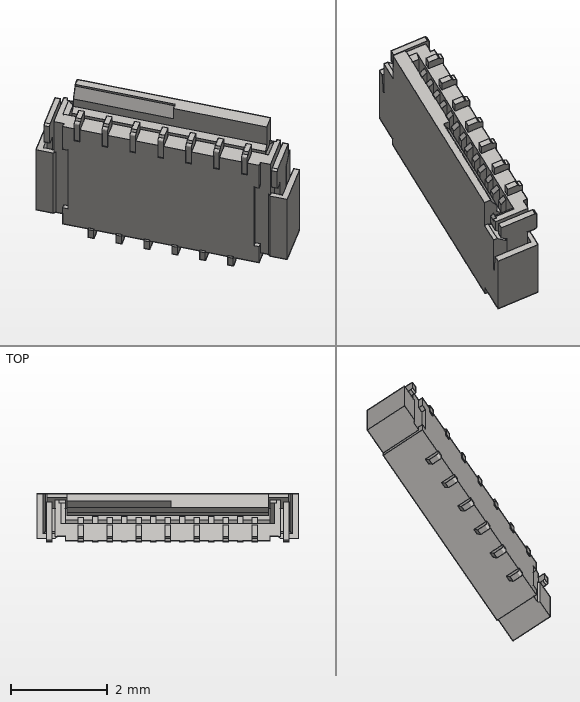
import cadquery as cq


WIDTH = 5.4
DEPTH = 1.0
HEIGHT = 3.48

FRONT_Y = 0.02
SHOULDER_Y = 0.115
BODY_BOTTOM = 0.25
HOUSING_TOP = 3.02
BODY_HALF = 2.11
WAIST_HALF = 2.0
WAIST_BOTTOM = 0.71
WAIST_TOP = 2.37
SIDE_HALF = 2.33
SIDE_BOTTOM = 0.45
SIDE_BACK_Y = 0.87
SIDE_BACK_Z = 2.71
RELIEF_WIDTH = 0.135
RELIEF_SIZE = 0.065

SLOT_HALF = BODY_HALF
SLOT_FRONT_Y = 0.385
SLOT_FLOOR = 0.97
FLOOR_EDGE_Y = 0.45
FLOOR_EDGE_DROP = 0.03
LEAD_IN_WIDTH = 0.095
LEAD_IN_DEPTH = 0.11

ACTUATOR_HALF = 2.08
ACTUATOR_FRONT_Y = 0.71
ACTUATOR_LIP_Y = 0.605
ACTUATOR_NOSE_Y = 0.55
ACTUATOR_SLOPE_TOP = 2.975
ACTUATOR_SLOPE_BOTTOM = 2.875
ACTUATOR_NOSE_Z = 2.605
BEVEL_END_X = 0.07
BEVEL_Y = 0.84
BEVEL_TOP = 3.43
BEVEL_BOTTOM = 3.185
ARM_HALF = 2.495
ARM_TOP = 2.66
ARM_TOP_Y = 0.91
ARM_FRONT_Y = 0.69

EAR_FRONT_Y = 0.07
EAR_TOP = 2.16
EAR_WALL_X = 0.13
EAR_WALL_Y = 0.1
EAR_POCKET_DEPTH = 0.54
EAR_POCKET_TAPER = 5.0

PLATE_INNER = 2.385
PLATE_OUTER = 2.505
PLATE_TOP = 3.0
PLATE_BACK_Y = 0.825
PLATE_BACK_Z = 2.64
PLATE_SLOPE_END_Z = 2.515
PLATE_BOTTOM = 2.45
PLATE_NECK_Y = 0.215
PLATE_CORNER = 0.045

PITCH = 0.6
UPPER_COUNT = 7
LOWER_COUNT = 6
CONTACT_WIDTH = 0.12
TAIL_BACK_Y = 0.345
TAIL_TOP = 3.25
TAIL_BOTTOM = 2.7
TAIL_SLOPE_Y = 0.115
TAIL_DIP_Y = 0.075
TAIL_DIP_Z = 3.2
TAIL_RADIUS = 0.055
FOOT_TOP_Y = 0.32
FOOT_FRONT_TOP = 0.28
FOOT_BOTTOM_Y = 0.225
FOOT_RADIUS = 0.05
UPPER_ARM_Y = 0.5
LOWER_ARM_Y = 0.53
ARM_TIP_DROP = 0.11
ARM_TIP_HEIGHT = 0.11


def box(x0, x1, y0, y1, z0, z1):
    return cq.Workplane("XY").box(x1 - x0, y1 - y0, z1 - z0, centered=False).translate((x0, y0, z0))


def side_profile(x0, x1, points):
    """Extrude a closed (y, z) outline from x0 to x1."""
    return cq.Workplane("YZ", origin=(x0, 0, 0)).polyline(points).close().extrude(x1 - x0)


def both_sides(right_half):
    return right_half.union(right_half.mirror("YZ"))


def row_positions(count):
    return [(i - (count - 1) / 2) * PITCH for i in range(count)]


def make_housing():
    """Proud front body with a waist, set-back side walls and the cable slot."""
    body = box(-BODY_HALF, BODY_HALF, FRONT_Y, ACTUATOR_FRONT_Y, BODY_BOTTOM, HOUSING_TOP)
    base = box(-BODY_HALF, BODY_HALF, FRONT_Y, DEPTH, BODY_BOTTOM, SIDE_BOTTOM)
    waist = both_sides(box(WAIST_HALF, BODY_HALF, FRONT_Y, SHOULDER_Y, WAIST_BOTTOM, WAIST_TOP))

    slope_drop = SIDE_BACK_Y - ARM_FRONT_Y
    side_wall = side_profile(WAIST_HALF, SIDE_HALF, [
        (SHOULDER_Y, SIDE_BOTTOM),
        (SHOULDER_Y, HOUSING_TOP),
        (SIDE_BACK_Y, HOUSING_TOP),
        (SIDE_BACK_Y, SIDE_BACK_Z),
        (ARM_FRONT_Y, SIDE_BACK_Z - slope_drop),
        (ARM_FRONT_Y, SIDE_BOTTOM),
    ])
    relief = side_profile(SLOT_HALF, SLOT_HALF + RELIEF_WIDTH, [
        (SIDE_BACK_Y, HOUSING_TOP),
        (SIDE_BACK_Y - RELIEF_SIZE, HOUSING_TOP),
        (SIDE_BACK_Y, HOUSING_TOP - RELIEF_SIZE),
    ])
    housing = body.union(base).cut(waist).union(both_sides(side_wall.cut(relief)))

    slot = side_profile(-SLOT_HALF, SLOT_HALF, [
        (SLOT_FRONT_Y, HOUSING_TOP),
        (DEPTH, HOUSING_TOP),
        (DEPTH, SLOT_FLOOR),
        (FLOOR_EDGE_Y, SLOT_FLOOR),
        (SLOT_FRONT_Y, SLOT_FLOOR - FLOOR_EDGE_DROP),
    ])
    lead_in = (
        cq.Workplane("XZ", origin=(0, SLOT_FRONT_Y, 0))
        .polyline([
            (-SLOT_HALF - LEAD_IN_WIDTH, HOUSING_TOP),
            (SLOT_HALF + LEAD_IN_WIDTH, HOUSING_TOP),
            (SLOT_HALF, HOUSING_TOP - LEAD_IN_DEPTH),
            (-SLOT_HALF, HOUSING_TOP - LEAD_IN_DEPTH),
        ]).close()
        .extrude(SLOT_FRONT_Y - (SIDE_BACK_Y - RELIEF_SIZE))
    )
    return housing.cut(slot).cut(lead_in)


def make_actuator():
    """Rear locking bar with a part-length bevel and an arm at each end."""
    bar = side_profile(-ACTUATOR_HALF, ACTUATOR_HALF, [
        (DEPTH, SIDE_BOTTOM),
        (DEPTH, HEIGHT),
        (ACTUATOR_FRONT_Y, HEIGHT),
        (ACTUATOR_FRONT_Y, ACTUATOR_SLOPE_TOP),
        (ACTUATOR_LIP_Y, ACTUATOR_SLOPE_BOTTOM),
        (ACTUATOR_NOSE_Y, ACTUATOR_NOSE_Z),
        (ACTUATOR_NOSE_Y, SIDE_BOTTOM),
    ])
    bevel = side_profile(-ACTUATOR_HALF, BEVEL_END_X, [
        (BEVEL_Y, HEIGHT),
        (BEVEL_Y, BEVEL_TOP),
        (ACTUATOR_FRONT_Y, BEVEL_BOTTOM),
        (ACTUATOR_FRONT_Y, HEIGHT),
    ])
    arms = side_profile(-ARM_HALF, ARM_HALF, [
        (DEPTH, SIDE_BOTTOM),
        (DEPTH, ARM_TOP),
        (ARM_TOP_Y, ARM_TOP),
        (ARM_FRONT_Y, ARM_TOP - (ARM_TOP_Y - ARM_FRONT_Y)),
        (ARM_FRONT_Y, SIDE_BOTTOM),
    ])
    return bar.cut(bevel).union(arms)


def make_ear():
    """Right-hand ear: a block with a tapered pocket open to the top and back."""
    bevel = SHOULDER_Y - EAR_FRONT_Y
    ear = (
        cq.Workplane("XY", origin=(0, 0, SIDE_BOTTOM))
        .polyline([
            (WIDTH / 2, EAR_FRONT_Y),
            (WIDTH / 2, DEPTH),
            (SIDE_HALF - bevel, DEPTH),
            (SIDE_HALF - bevel, SHOULDER_Y),
            (SIDE_HALF, EAR_FRONT_Y),
        ]).close()
        .extrude(EAR_TOP - SIDE_BOTTOM)
    )
    pocket_outer = WIDTH / 2 - EAR_WALL_X
    pocket_inner = 2 * SIDE_HALF - pocket_outer
    pocket_front = EAR_FRONT_Y + EAR_WALL_Y
    pocket_length = 2 * (DEPTH - pocket_front)
    pocket = (
        cq.Workplane("XY", origin=(SIDE_HALF, DEPTH, EAR_TOP))
        .rect(pocket_outer - pocket_inner, pocket_length)
        .extrude(-EAR_POCKET_DEPTH, taper=EAR_POCKET_TAPER)
    )
    return ear.cut(pocket)


def make_plate():
    """Right-hand hold-down plate: a wide head on a neck that stands in the ear."""
    return side_profile(PLATE_INNER, PLATE_OUTER, [
        (0, PLATE_BOTTOM + PLATE_CORNER),
        (0, PLATE_TOP - PLATE_CORNER),
        (PLATE_CORNER, PLATE_TOP),
        (PLATE_BACK_Y, PLATE_TOP),
        (PLATE_BACK_Y, PLATE_BACK_Z),
        (ARM_FRONT_Y, PLATE_SLOPE_END_Z),
        (ARM_FRONT_Y, EAR_TOP - EAR_POCKET_DEPTH),
        (PLATE_NECK_Y, EAR_TOP - EAR_POCKET_DEPTH),
        (PLATE_NECK_Y, PLATE_BOTTOM),
        (PLATE_CORNER, PLATE_BOTTOM),
    ])


def make_contact_arm(x, arm_y):
    """Contact along the front of the slot, with a bevelled tip."""
    tip_top = HOUSING_TOP - ARM_TIP_DROP
    return side_profile(x - CONTACT_WIDTH / 2, x + CONTACT_WIDTH / 2, [
        (SLOT_FRONT_Y, SLOT_FLOOR - FLOOR_EDGE_DROP),
        (SLOT_FRONT_Y, tip_top),
        (arm_y, tip_top - ARM_TIP_HEIGHT),
        (arm_y, SLOT_FLOOR - FLOOR_EDGE_DROP),
    ])


def make_upper_tail(x):
    """Solder tail lying on the housing top and bent down over its front."""
    return (
        cq.Workplane("YZ", origin=(x - CONTACT_WIDTH / 2, 0, 0))
        .moveTo(TAIL_BACK_Y, HOUSING_TOP)
        .lineTo(TAIL_BACK_Y, TAIL_TOP)
        .lineTo(TAIL_SLOPE_Y, TAIL_TOP)
        .lineTo(TAIL_DIP_Y, TAIL_DIP_Z)
        .lineTo(TAIL_RADIUS, TAIL_DIP_Z)
        .radiusArc((0, TAIL_DIP_Z - TAIL_RADIUS), -TAIL_RADIUS)
        .lineTo(0, TAIL_BOTTOM)
        .lineTo(FRONT_Y, TAIL_BOTTOM)
        .lineTo(FRONT_Y, HOUSING_TOP)
        .close()
        .extrude(CONTACT_WIDTH)
    )


def make_lower_foot(x):
    """Solder foot below the housing, tapered at the back and rounded in front."""
    return (
        cq.Workplane("YZ", origin=(x - CONTACT_WIDTH / 2, 0, 0))
        .moveTo(FOOT_TOP_Y, BODY_BOTTOM)
        .lineTo(FOOT_BOTTOM_Y, 0)
        .lineTo(FOOT_RADIUS, 0)
        .radiusArc((0, FOOT_RADIUS), FOOT_RADIUS)
        .lineTo(0, BODY_BOTTOM)
        .lineTo(FRONT_Y, FOOT_FRONT_TOP)
        .lineTo(FRONT_Y, BODY_BOTTOM)
        .close()
        .extrude(CONTACT_WIDTH)
    )


result = make_housing().union(make_actuator())
result = result.union(both_sides(make_ear().union(make_plate())))
for x in row_positions(UPPER_COUNT):
    result = result.union(make_upper_tail(x)).union(make_contact_arm(x, UPPER_ARM_Y))
for x in row_positions(LOWER_COUNT):
    result = result.union(make_lower_foot(x)).union(make_contact_arm(x, LOWER_ARM_Y))